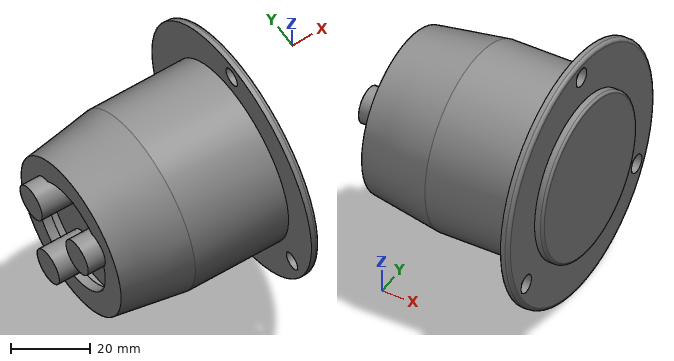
import cadquery as cq

overall_length = 58.29
pin_protrusion = 5.13
taper_length = 20.3
flange_thickness = 2.35
plug_length = 2.4
barrel_length = overall_length - pin_protrusion - taper_length - flange_thickness - plug_length

nose_diameter = 45.7
barrel_diameter = 52.0
flange_diameter = 72.9
plug_diameter = 46.8
flange_rounding = 1.0
plug_rounding = 0.7

opening_diameter = 31.2
nose_wall = 2.75
floor_depth = 6.1
cavity_diameter = nose_diameter - 2 * nose_wall

pin_diameter = 10.2
pin_centers = [(10.5, 6.3), (-10.5, 7.3), (2.68, -12.3)]

hole_count = 3
hole_diameter = 5.2
hole_circle_radius = 31.8
first_hole_angle = 90

pin_tip_x = 0
nose_x = pin_tip_x + pin_protrusion
barrel_x = nose_x + taper_length
flange_x = barrel_x + barrel_length
plug_x = flange_x + flange_thickness
wall_back_x = nose_x + nose_wall
floor_x = nose_x + floor_depth


def disc(start_x, length, diameter, y=0, z=0):
    """Solid cylinder along +X, centred on (y, z)."""
    return cq.Workplane("YZ", origin=(start_x, y, z)).circle(diameter / 2).extrude(length)


def rounded_disc(start_x, length, diameter, rounding):
    """Disc on the X axis with its rear rim rounded."""
    return disc(start_x, length, diameter).faces(">X").edges().fillet(rounding)


def make_shell():
    """Tapered nose and straight barrel, turned with the nose opening and cavity."""
    half_section = [
        (floor_x, 0),
        (floor_x, cavity_diameter / 2),
        (wall_back_x, cavity_diameter / 2),
        (wall_back_x, opening_diameter / 2),
        (nose_x, opening_diameter / 2),
        (nose_x, nose_diameter / 2),
        (barrel_x, barrel_diameter / 2),
        (flange_x, barrel_diameter / 2),
        (flange_x, 0),
    ]
    return cq.Workplane("XZ").polyline(half_section).close().revolve(360, (0, 0), (1, 0))


def make_flange():
    """Round flange with a rounded rear rim and evenly spaced mounting holes."""
    flange = rounded_disc(flange_x, flange_thickness, flange_diameter, flange_rounding)
    holes = (
        cq.Workplane("YZ", origin=(flange_x, 0, 0))
        .polarArray(hole_circle_radius, first_hole_angle, 360, hole_count)
        .circle(hole_diameter / 2)
        .extrude(flange_thickness)
    )
    return flange.cut(holes)


def make_plug():
    """Short round step behind the flange."""
    return rounded_disc(plug_x, plug_length, plug_diameter, plug_rounding)


def add_pins(body):
    """Stand the contact pins on the cavity floor, reaching out past the nose."""
    for y, z in pin_centers:
        body = body.union(disc(pin_tip_x, floor_x - pin_tip_x, pin_diameter, y, z))
    return body


result = add_pins(make_shell().union(make_flange()).union(make_plug()))